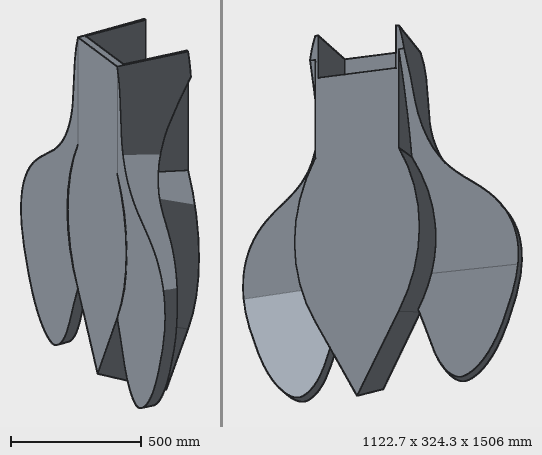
import cadquery as cq

height = 1506.0
depth = 304.0
front_half_width = 152.0
back_half_width = 170.0
front_belly_half_width = 229.0
back_belly_half_width = 255.0
front_shoulder_z = 1050.0
back_shoulder_z = 1002.0
front_waist_z = 438.0
back_waist_z = 328.0
front_tip_z = 139.0
back_tip_z = 0.0

front_wall = 32.0
recess_floor_z = 1331.0
recess_front_half_width = 146.0
recess_back_half_width = 158.0

wing_lean = 0.05
wing_flare = (back_half_width - front_half_width) / depth
wing_thickness = 51.0
wing_curve_start_z = 572.0
wing_back_radius = 1497.0
wing_root_x = 75.0
wing_root_z = 527.0
wing_reach_x = 678.0
margin = 45.0

wing_edge = [
    (front_half_width, height),
    (170.0, 1430.0),
    (182.0, 1318.0),
    (193.0, 1190.0),
    (206.0, 1134.0),
    (255.0, 1033.0),
    (327.0, 958.0),
    (414.0, 896.0),
    (494.0, 821.0),
    (544.0, 726.0),
    (559.5, 615.0),
    (548.0, 510.0),
    (514.0, 387.0),
    (417.0, 193.0),
    (366.0, 146.0),
    (322.0, 133.0),
    (290.0, 146.0),
    (253.0, 185.0),
    (218.0, 255.0),
    (180.0, 363.0),
    (front_half_width, front_waist_z),
]


def plane_at(y):
    """Plane at depth y with local axes along +X and +Z."""
    return cq.Plane(origin=(0, y, 0), xDir=(1, 0, 0), normal=(0, -1, 0))


def loft_in_depth(front_wire, back_wire):
    return cq.Workplane(cq.Solid.makeLoft([front_wire, back_wire], True))


def body_wire(y, half_width, belly, shoulder_z, waist_z, tip_z):
    belly_z = (shoulder_z + waist_z) / 2
    return (
        cq.Workplane(plane_at(y))
        .moveTo(-half_width, height)
        .lineTo(half_width, height)
        .lineTo(half_width, shoulder_z)
        .threePointArc((belly, belly_z), (half_width, waist_z))
        .lineTo(0, tip_z)
        .lineTo(-half_width, waist_z)
        .threePointArc((-belly, belly_z), (-half_width, shoulder_z))
        .close()
        .val()
    )


def front_body_wire(y):
    return body_wire(
        y, front_half_width, front_belly_half_width, front_shoulder_z, front_waist_z, front_tip_z
    )


def make_body():
    back = body_wire(
        depth, back_half_width, back_belly_half_width, back_shoulder_z, back_waist_z, back_tip_z
    )
    return loft_in_depth(front_body_wire(0), back)


def wing_wire(y):
    shift = wing_flare * y
    edge = [(x + shift, z) for x, z in wing_edge]
    return (
        cq.Workplane(plane_at(y))
        .moveTo(wing_root_x, height)
        .lineTo(*edge[0])
        .spline(edge[1:], includeCurrent=True)
        .lineTo(wing_root_x, wing_root_z)
        .close()
        .val()
    )


def arc_y(z):
    """Distance of the curved wing back behind the wing front at height z."""
    rise = z - wing_curve_start_z
    return wing_thickness + wing_back_radius - (wing_back_radius**2 - rise**2) ** 0.5


def lean_wire(x):
    """Side profile of the leaning wing plate at one X position."""
    shift = -wing_lean * (x - front_half_width)
    middle_z = (wing_curve_start_z + height) / 2
    return (
        cq.Workplane(cq.Plane(origin=(x, shift, 0), xDir=(0, 1, 0), normal=(1, 0, 0)))
        .moveTo(0, 0)
        .lineTo(wing_thickness, 0)
        .lineTo(wing_thickness, wing_curve_start_z)
        .threePointArc((arc_y(middle_z), middle_z), (arc_y(height), height))
        .lineTo(0, height)
        .close()
        .val()
    )


def make_wing():
    outline = loft_in_depth(wing_wire(-margin), wing_wire(depth))
    lean = cq.Workplane(cq.Solid.makeLoft([lean_wire(wing_root_x), lean_wire(wing_reach_x)], True))
    clearance = loft_in_depth(front_body_wire(-margin), front_body_wire(0))
    return outline.intersect(lean).cut(clearance)


def make_recess():
    return (
        cq.Workplane("XY", origin=(0, 0, recess_floor_z))
        .polyline([
            (-recess_front_half_width, front_wall),
            (recess_front_half_width, front_wall),
            (recess_back_half_width, depth),
            (-recess_back_half_width, depth),
        ])
        .close()
        .extrude(height - recess_floor_z)
    )


right_wing = make_wing()
left_wing = right_wing.mirror("YZ")
result = make_body().union(right_wing).union(left_wing).cut(make_recess())